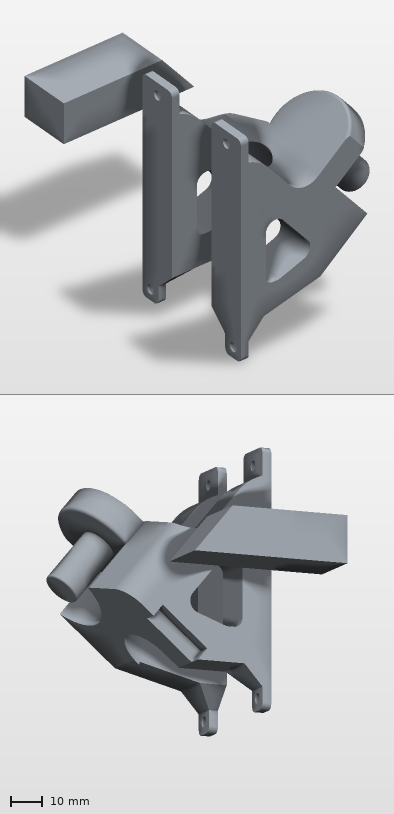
import cadquery as cq
import math

bracket_width = 50.0
slot_radius = 10.0
slot_width = 2 * slot_radius
leg_width = (bracket_width - slot_width) / 2

plate_height = 84.5
plate_thickness = 3.1
plate_corner_radius = 2.0
tab_width = 8.0
tab_height = 7.2
screw_hole_diameter = 3.4
top_hole_drop = 5.0
bottom_hole_rise = 4.1

tilt = 40.0
tilt_sin = math.sin(math.radians(tilt))
tilt_cos = math.cos(math.radians(tilt))
leg_bottom_z = tab_height + leg_width - tab_width
toe_y = 25.3
head_thickness = 30.0

heel_y = 9.2
leg_back_w = 25.0
back_fillet_radius = 7.9
back_straight_end_y = 11.3
leg_top_z = 75.1

head_corner_radius = 9.4
head_slope = 17.0
head_slope_end_x = 19.4
disc_center_x = 36.0
disc_center_w = 41.1
disc_radius = 16.2
disc_thickness = 10.0
disc_edge_radius = 1.0
boss_radius = 5.9
boss_edge_radius = 0.5
boss_clearance_radius = 16.0

slot_lean = 15.6
slot_end_y = 38.7
slot_end_z = 25.3

window_front_y = 10.0
window_bottom_z = 25.6
window_floor_end_y = 15.4
window_bottom_slope = 20.0
window_back_w = 15.1
window_large_radius = 4.0
window_small_radius = 2.9

pocket_length = 20.0
pocket_depth = 5.0
pocket_width = 5.0

undercut_end_w = 8.8

block_width = 20.0
block_gap = 39.9
block_bottom_z = 36.3
block_height = 15.5
block_bottom_length = 52.7

REACH = 110.0


def side_point(w, u):
    """(Y, Z) of a point given along the tilted underside (w) and above it (u)."""
    return (toe_y + w * tilt_cos - u * tilt_sin, leg_bottom_z + w * tilt_sin + u * tilt_cos)


def head_plane(u=0.0):
    """Plane parallel to the tilted underside, with local x = X and local y = w."""
    y, z = side_point(0, u)
    return cq.Workplane(cq.Plane(origin=(0, y, z), xDir=(1, 0, 0), normal=(0, -tilt_sin, tilt_cos)))


def mirrored(left):
    """Copy of a left-hand shape on the bracket's right-hand side."""
    return left.mirror("YZ", (bracket_width / 2, 0, 0))


def make_plate():
    """Left mounting plate, narrowed to a tab at its lower end."""
    plate = (
        cq.Workplane("XZ")
        .moveTo(0, 0)
        .lineTo(tab_width, 0)
        .lineTo(tab_width, tab_height)
        .lineTo(leg_width, leg_bottom_z)
        .lineTo(leg_width, plate_height)
        .lineTo(0, plate_height)
        .close()
        .extrude(-plate_thickness)
    )
    plate = plate.faces("<Z or >Z").edges("|Y").fillet(plate_corner_radius)
    hole_places = [(leg_width / 2, plate_height - top_hole_drop), (tab_width / 2, bottom_hole_rise)]
    holes = cq.Workplane("XZ").pushPoints(hole_places).circle(screw_hole_diameter / 2)
    holes = holes.extrude(-plate_thickness)
    return plate.cut(holes)


def make_side_profile():
    """Leg and head outline as seen from the side, spanning the full bracket width."""
    head_end_w = disc_center_w
    fillet_w = leg_back_w + back_fillet_radius
    fillet_u = head_thickness + back_fillet_radius
    bend = back_fillet_radius * (1 - math.sqrt(0.5))
    back_run = (side_point(leg_back_w, 0)[0] - back_straight_end_y) / tilt_sin
    return (
        cq.Workplane("YZ")
        .moveTo(0, tab_height)
        .lineTo(plate_thickness, tab_height)
        .lineTo(heel_y, leg_bottom_z)
        .lineTo(toe_y, leg_bottom_z)
        .lineTo(*side_point(head_end_w, 0))
        .lineTo(*side_point(head_end_w, head_thickness))
        .lineTo(*side_point(fillet_w, head_thickness))
        .threePointArc(
            side_point(leg_back_w + bend, head_thickness + bend),
            side_point(leg_back_w, fillet_u),
        )
        .lineTo(*side_point(leg_back_w, back_run))
        .tangentArcPoint((plate_thickness, leg_top_z), relative=False)
        .lineTo(0, leg_top_z)
        .close()
        .extrude(bracket_width)
    )


def make_head_outline():
    """Envelope along the head axis: rounded left corner, then a sloped face up to the disc."""
    slope_sin = math.sin(math.radians(head_slope))
    slope_cos = math.cos(math.radians(head_slope))
    slope_start_x = head_corner_radius * (1 - slope_sin)
    slope_start_w = leg_back_w + head_corner_radius * slope_cos
    slope_rise = (head_slope_end_x - slope_start_x) * slope_sin / slope_cos
    slope_end_w = slope_start_w + slope_rise
    return (
        head_plane(-REACH)
        .moveTo(0, -REACH)
        .lineTo(0, leg_back_w)
        .tangentArcPoint((slope_start_x, slope_start_w), relative=False)
        .lineTo(head_slope_end_x, slope_end_w)
        .lineTo(bracket_width, slope_end_w)
        .lineTo(bracket_width, -REACH)
        .close()
        .extrude(2 * REACH)
    )


def make_disc():
    """Round-edged disc at the top of the head, cut flush with the bracket's right side."""
    disc = (
        head_plane(head_thickness - disc_thickness)
        .center(disc_center_x, disc_center_w)
        .circle(disc_radius)
        .extrude(disc_thickness)
        .edges()
        .fillet(disc_edge_radius)
    )
    beyond_side = cq.Workplane("XY").box(REACH, 2 * REACH, 2 * REACH)
    beyond_side = beyond_side.translate((bracket_width + REACH / 2, 0, 0))
    return disc.cut(beyond_side)


def make_boss():
    """Round boss hanging from the disc down to the level of the underside."""
    boss = head_plane().center(disc_center_x, disc_center_w).circle(boss_radius)
    boss = boss.extrude(head_thickness - disc_thickness / 2)
    lower_edge = cq.selectors.DirectionMinMaxSelector(cq.Vector(0, -tilt_sin, tilt_cos), False)
    return boss.edges(lower_edge).fillet(boss_edge_radius)


def make_boss_clearance():
    """Round space under the disc, in which the boss hangs."""
    return (
        head_plane()
        .center(disc_center_x, disc_center_w)
        .circle(boss_clearance_radius)
        .extrude(head_thickness - disc_thickness)
    )


def make_slot():
    """Leaning round-ended slot that separates the two legs."""
    lean = math.radians(slot_lean)
    plane = cq.Plane(
        origin=(bracket_width / 2, slot_end_y, slot_end_z),
        xDir=(1, 0, 0),
        normal=(0, -math.sin(lean), math.cos(lean)),
    )
    return (
        cq.Workplane(plane)
        .moveTo(-slot_radius, -REACH)
        .lineTo(-slot_radius, -slot_radius)
        .threePointArc((0, 0), (slot_radius, -slot_radius))
        .lineTo(slot_radius, -REACH)
        .close()
        .extrude(REACH, both=True)
    )


def make_tab_relief():
    """Clears the left leg beside its tab, following the plate's sloped edge."""
    return (
        cq.Workplane("XZ")
        .moveTo(tab_width, 0)
        .lineTo(tab_width, tab_height)
        .lineTo(leg_width, leg_bottom_z)
        .lineTo(leg_width, 0)
        .close()
        .extrude(-heel_y)
    )


def make_window():
    """Window with an upright front, a short floor, a sloped bottom and a back parallel to the head axis."""
    bottom_tan = math.tan(math.radians(window_bottom_slope))
    back_y, back_z = side_point(window_back_w, 0)
    back_tan = tilt_cos / tilt_sin
    top_z = back_z + (back_y - window_front_y) * back_tan
    floor_end_rise = top_z - window_bottom_z - back_tan * (window_floor_end_y - window_front_y)
    corner_run = floor_end_rise / (bottom_tan + back_tan)
    window = (
        cq.Workplane("YZ")
        .moveTo(window_front_y, window_bottom_z)
        .lineTo(window_floor_end_y, window_bottom_z)
        .lineTo(window_floor_end_y + corner_run, window_bottom_z + corner_run * bottom_tan)
        .lineTo(window_front_y, top_z)
        .close()
        .extrude(bracket_width)
    )
    window = window.edges("|X").edges(">Y or >Z").fillet(window_large_radius)
    front_corner = window.faces("<Z").edges("<Y")
    return front_corner.fillet(window_small_radius)


def make_pocket():
    """Blind rectangular pocket in the outer lower edge of the left leg."""
    return head_plane().rect(pocket_width, pocket_length, centered=False).extrude(pocket_depth)


def make_right_undercut():
    """Wedge removed from the toe of the right leg."""
    return (
        cq.Workplane("YZ", origin=(bracket_width - leg_width, 0, 0))
        .moveTo(heel_y, leg_bottom_z)
        .lineTo(*side_point(undercut_end_w, 0))
        .lineTo(toe_y, leg_bottom_z)
        .close()
        .extrude(leg_width)
    )


def make_bracket():
    plate = make_plate()
    relief = make_tab_relief()
    body = make_side_profile().intersect(make_head_outline())
    body = body.cut(make_boss_clearance())
    body = body.union(make_disc()).union(make_boss())
    body = body.cut(make_slot()).cut(make_window()).cut(make_pocket()).cut(make_right_undercut())
    body = body.cut(relief).cut(mirrored(relief))
    return body.union(plate).union(mirrored(plate))


def make_block():
    """Wedge block whose outer end is parallel to the head axis."""
    top_length = block_bottom_length - block_height * tilt_sin / tilt_cos
    return (
        cq.Workplane("YZ", origin=(-block_gap - block_width, 0, block_bottom_z))
        .moveTo(0, 0)
        .lineTo(block_bottom_length, 0)
        .lineTo(top_length, block_height)
        .lineTo(0, block_height)
        .close()
        .extrude(block_width)
    )


bracket = make_bracket()
block = make_block()
result = cq.Compound.makeCompound([bracket.val(), block.val()])